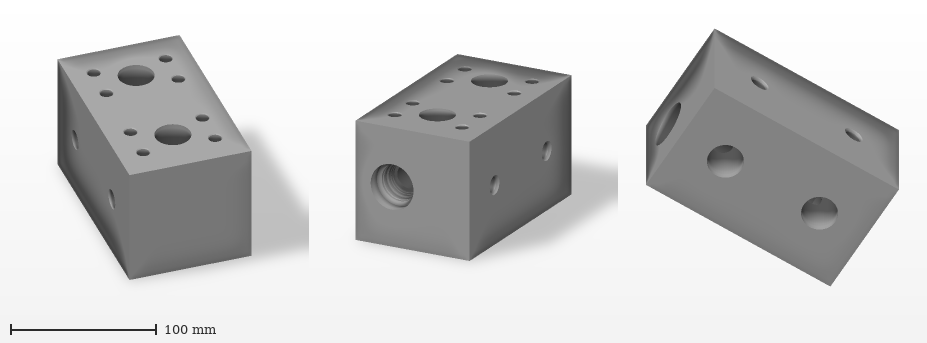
import cadquery as cq
import math

LENGTH = 149.22
WIDTH = 88.9
HEIGHT = 87.33
MID_X = LENGTH / 2
MID_Y = WIDTH / 2
MID_Z = HEIGHT / 2

PORT_SPACING = 76.2
PORT_DIAMETER = 25.4
PORT_X = [MID_X - PORT_SPACING / 2, MID_X + PORT_SPACING / 2]

BOLT_SPACING_X = 26.19
BOLT_SPACING_Y = 52.37
BOLT_RADIUS = 4.5
BOLT_MOUTH_RADIUS = 5.1
BOLT_DEPTH = 25.4

GAUGE_RADIUS = 5.4
GAUGE_MOUTH_RADIUS = 7.1

CAVITY_Y = MID_Y + 15.875
SPOTFACE_RADIUS = 16.67
SPOTFACE_END = 9.15
SEAL_RADIUS = 13.8
SEAL_END = 12.6
THREAD_RADIUS = 13.3
THREAD_LEAD_IN = 0.5
THREAD_END = 16.95
LAND_RADIUS = 12.2
LAND_END = 20.3
GUIDE_RADIUS = 11.65
GUIDE_END = 22.3
NOSE_RADIUS = 11.11
NOSE_END = 24.0
CROSS_BORE_RADIUS = 8.73
CROSS_BORE_END = 119.06

SHOULDER_ANGLE = 120
DRILL_POINT_ANGLE = 118


def cone_length(radial_change, included_angle):
    """Axial length of a cone that narrows by the given radius."""
    return radial_change / math.tan(math.radians(included_angle / 2))


def drill_point_length(radius):
    """Length of the conical end left by a drill."""
    return cone_length(radius, DRILL_POINT_ANGLE)


def shoulder(outer_radius, inner_radius, depth):
    """Conical shoulder between two stages, as the (radius, depth) steps at its two ends."""
    return [
        (outer_radius, depth),
        (inner_radius, depth + cone_length(outer_radius - inner_radius, SHOULDER_ANGLE)),
    ]


def revolved_hole(steps, origin, inward, across):
    """Solid of revolution through (radius, depth) steps, starting at origin and going inward."""
    plane = cq.Plane(origin=origin, xDir=across, normal=cq.Vector(*across).cross(cq.Vector(*inward)))
    end_depth = steps[-1][1]
    profile = cq.Workplane(plane).moveTo(0, 0)
    for radius, depth in steps:
        profile = profile.lineTo(radius, depth)
    return profile.close().revolve(360, (0, 0), (0, end_depth))


def flange_port(x):
    return cq.Workplane("XY").center(x, MID_Y).circle(PORT_DIAMETER / 2).extrude(HEIGHT)


def bolt_hole(x, y):
    steps = [
        (BOLT_MOUTH_RADIUS, 0),
        (BOLT_RADIUS, BOLT_MOUTH_RADIUS - BOLT_RADIUS),
        (BOLT_RADIUS, BOLT_DEPTH),
        (0, BOLT_DEPTH + drill_point_length(BOLT_RADIUS)),
    ]
    return revolved_hole(steps, (x, y, HEIGHT), (0, 0, -1), (1, 0, 0))


def gauge_port(x):
    """Countersunk hole that stops on the axis of the flange port."""
    steps = [
        (GAUGE_MOUTH_RADIUS, 0),
        (GAUGE_RADIUS, GAUGE_MOUTH_RADIUS - GAUGE_RADIUS),
        (GAUGE_RADIUS, MID_Y),
        (0, MID_Y),
    ]
    return revolved_hole(steps, (x, 0, MID_Z), (0, 1, 0), (0, 0, 1))


def cartridge_cavity():
    steps = [
        (SPOTFACE_RADIUS, 0),
        *shoulder(SPOTFACE_RADIUS, SEAL_RADIUS, SPOTFACE_END),
        (SEAL_RADIUS, SEAL_END),
        (THREAD_RADIUS, SEAL_END + THREAD_LEAD_IN),
        *shoulder(THREAD_RADIUS, LAND_RADIUS, THREAD_END),
        *shoulder(LAND_RADIUS, GUIDE_RADIUS, LAND_END),
        *shoulder(GUIDE_RADIUS, NOSE_RADIUS, GUIDE_END),
        (NOSE_RADIUS, NOSE_END),
        (CROSS_BORE_RADIUS, NOSE_END),
        (CROSS_BORE_RADIUS, CROSS_BORE_END),
        (0, CROSS_BORE_END + drill_point_length(CROSS_BORE_RADIUS)),
    ]
    return revolved_hole(steps, (0, CAVITY_Y, MID_Z), (1, 0, 0), (0, 0, 1))


block = cq.Workplane("XY").box(LENGTH, WIDTH, HEIGHT, centered=False)
for port_x in PORT_X:
    block = block.cut(flange_port(port_x))
    block = block.cut(gauge_port(port_x))
    for side_x in (-1, 1):
        for side_y in (-1, 1):
            bolt_x = port_x + side_x * BOLT_SPACING_X / 2
            bolt_y = MID_Y + side_y * BOLT_SPACING_Y / 2
            block = block.cut(bolt_hole(bolt_x, bolt_y))

result = block.cut(cartridge_cavity())